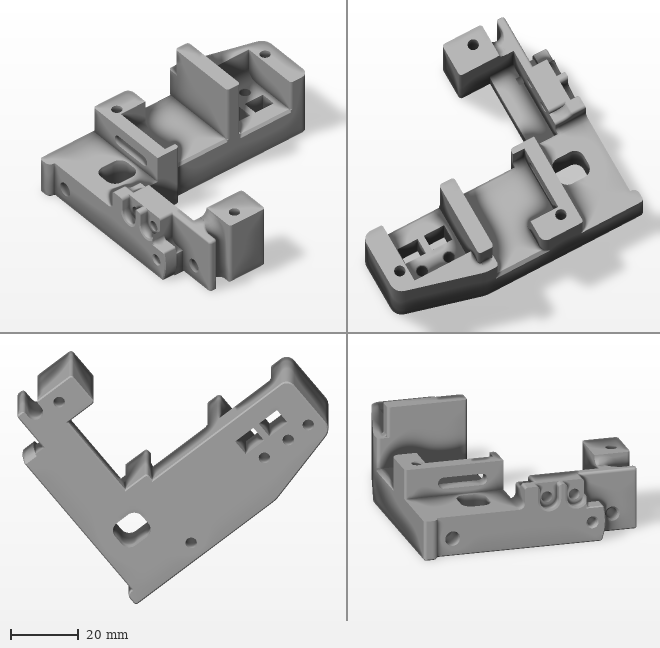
import cadquery as cq
import math

wall_top = 31.1
body_top = 21.6
boss_top = 19.1
deck_top = 12.4
channel_floor = 12.2
pocket_floor = 11.05
ear_top = 11.05
neck_top = 8.0
trough_floor = 5.4

column_right = 27.85
deck_right = 30.5
boss_left = 31.85
boss_right = 50.8
post_left = 57.6
part_right = 68.75
lip_right = 4.6

part_rear = 80.0
front_face = 2.2
ear_rear = 6.6
plate_front = 9.7
plate_rear = 12.4
post_front = 17.2
bracket_front = 20.4
nub_rear = 28.6
post_rear = 30.6
pad_rear = 34.1
wall_front = 49.0
wall_rear = 54.0
pocket_rear = 73.15

base_chamfer = 0.4
edge_round = 1.0
floor_edge = 1.05
front_edge_chamfer = 0.3
screw_diameter = 3.4


def box(x0, x1, y0, y1, z0, z1):
    """Axis-aligned block between two corners."""
    return cq.Workplane("XY").box(x1 - x0, y1 - y0, z1 - z0, centered=False).translate((x0, y0, z0))


def clear_above(x0, x1, y0, y1, z):
    """Cutter that removes everything above level z over a rectangle."""
    return box(x0, x1, y0, y1, z, wall_top)


def vertical_hole(x, y, diameter):
    """Full-height round cutter."""
    return cq.Workplane("XY").center(x, y).circle(diameter / 2).extrude(wall_top)


def front_hole(x, z, diameter, y0, y1):
    """Round cutter along Y from y0 to y1."""
    return cq.Workplane("XZ", origin=(x, y0, z)).circle(diameter / 2).extrude(y0 - y1)


def front_countersink(x, z, hole_diameter, rim_diameter, y):
    """45 degree rim chamfer for a hole entering a front-facing wall at y."""
    depth = (rim_diameter - hole_diameter) / 2
    return (
        cq.Workplane("XZ", origin=(x, y, z))
        .circle(rim_diameter / 2)
        .workplane(offset=-depth)
        .circle(hole_diameter / 2)
        .loft()
    )


slant_foot_y = 53.3
slant_head_x = 7.2
slant_foot_round = 9.1
slant_head_round = 3.8
rear_corner_round = 2.8
lip_corner_round = 1.9
lip_inner_round = 0.2

body = (
    cq.Workplane("XY")
    .polyline([
        (0, 0),
        (lip_right, 0),
        (lip_right, front_face),
        (boss_right, front_face),
        (boss_right, plate_front),
        (part_right, plate_front),
        (part_right, post_rear),
        (post_left, post_rear),
        (post_left, bracket_front),
        (deck_right, bracket_front),
        (deck_right, nub_rear),
        (column_right, nub_rear),
        (column_right, part_rear),
        (slant_head_x, part_rear),
        (0, slant_foot_y),
    ])
    .close()
    .extrude(body_top)
)


def round_corner(solid, x, y, radius):
    """Fillet the vertical edge that stands at (x, y)."""
    near = 0.1
    picker = cq.selectors.BoxSelector((x - near, y - near, -0.8), (x + near, y + near, wall_top + 0.8), True)
    return solid.edges("|Z").edges(picker).fillet(radius)


def round_nearest_edges(solid, points, radius):
    """Fillet together the edges whose centers lie nearest to the given points."""
    edges = cq.Workplane()
    for point in points:
        edges = edges.add(solid.edges(cq.selectors.NearestToPointSelector(point)))
    return solid.newObject(edges.vals()).fillet(radius)


for x, y, radius in [
    (0, 0, edge_round),
    (lip_right, 0, lip_corner_round),
    (lip_right, front_face, lip_inner_round),
    (part_right, plate_front, edge_round),
    (part_right, post_rear, edge_round),
    (post_left, post_rear, edge_round),
    (deck_right, nub_rear, edge_round),
    (column_right, part_rear, rear_corner_round),
    (slant_head_x, part_rear, slant_head_round),
    (0, slant_foot_y, slant_foot_round),
]:
    body = round_corner(body, x, y, radius)

body = body.faces("<Z").edges().chamfer(base_chamfer)

foot_round = 1.9
bracket_corner_round = 0.8
deck_cut = clear_above(-0.8, boss_left, -0.8, bracket_front, deck_top)
deck_cut = deck_cut.edges("|Y and >X and <Z").fillet(foot_round)
body = body.cut(deck_cut)
body = round_corner(body, 0, bracket_front, bracket_corner_round)

groove_radius = (post_front - plate_rear) / 2
groove_y = (post_front + plate_rear) / 2
body = body.cut(clear_above(deck_right, part_right + 0.8, -0.8, groove_y, boss_top))

trough_round = 1.9
trough = clear_above(deck_right, post_left, plate_rear, bracket_front + 0.8, trough_floor)
trough = trough.edges("|Y and <Z").fillet(trough_round)
body = body.cut(trough)

bend_radius = 7.2
bend_start_x = 59.15
groove_x = bend_start_x + bend_radius
bend_middle = (
    bend_start_x + bend_radius * math.sin(math.pi / 4),
    body_top - bend_radius * (1 - math.cos(math.pi / 4)),
)


def groove_line():
    """Center line of the groove in the XZ plane midway between the plate and the post."""
    return (
        cq.Workplane("XZ", origin=(0, groove_y, 0))
        .moveTo(deck_right, body_top)
        .lineTo(bend_start_x, body_top)
        .threePointArc(bend_middle, (groove_x, body_top - bend_radius))
        .lineTo(groove_x, -0.8)
    )


groove = cq.Workplane("YZ", origin=(deck_right, groove_y, body_top)).circle(groove_radius).sweep(groove_line())
groove_mouth = (
    groove_line()
    .lineTo(part_right + 0.8, -0.8)
    .lineTo(part_right + 0.8, wall_top)
    .lineTo(deck_right, wall_top)
    .close()
    .extrude(groove_radius, both=True)
)
body = body.cut(groove).cut(groove_mouth)
body = round_corner(body, part_right, post_front, edge_round)
body = round_corner(body, part_right, plate_rear, edge_round)

bracket_wall_rear = 24.7
pad_right = 7.7
nub_left = 28.6
channel_round = 2.25
channel = clear_above(-0.8, column_right + 0.8, pad_rear, wall_front, channel_floor)
bracket_recess = clear_above(pad_right, nub_left, bracket_wall_rear, nub_rear, channel_floor)
bracket_recess = bracket_recess.edges("|Y and <Z").fillet(channel_round)
pad_recess = clear_above(pad_right, column_right + 0.8, nub_rear, pad_rear, channel_floor)
pad_recess = pad_recess.edges("|Y and <X and <Z").fillet(channel_round)
body = body.cut(channel).cut(bracket_recess).cut(pad_recess)
body = round_corner(body, 0, wall_front, floor_edge)
body = round_corner(body, 0, pad_rear, channel_round)

pocket_left = 7.9
pocket_round = 3.1
pocket_corner_round = 0.8
pocket = clear_above(pocket_left, column_right + 0.8, wall_rear, pocket_rear, pocket_floor)
pocket = pocket.edges("|Y and <X and <Z").fillet(pocket_round)
body = body.cut(pocket)
body = round_corner(body, column_right, pocket_rear, pocket_corner_round)



def floor_edge_cut(x, inward, size, y0, y1, floor):
    """Triangular strip that chamfers a floor edge running along Y."""
    return (
        cq.Workplane("XZ", origin=(0, y0, 0))
        .polyline([
            (x, floor - size),
            (x, floor),
            (x + inward * size, floor),
        ])
        .close()
        .extrude(y0 - y1)
    )


right_floor_edge = 0.8
for x, inward, size, y0, y1, floor in [
    (0, 1, floor_edge, pad_rear - channel_round, wall_front + floor_edge, channel_floor),
    (column_right, -1, right_floor_edge, nub_rear, wall_front, channel_floor),
    (column_right, -1, right_floor_edge, wall_rear, pocket_rear, pocket_floor),
]:
    body = body.cut(floor_edge_cut(x, inward, size, y0, y1, floor))

wall_left = 3.1
wall_foot_round = 1.0
wall = box(wall_left, column_right, wall_front, wall_rear, channel_floor, wall_top)
wall = wall.edges("|Z").fillet(edge_round)
wall_foot = (
    cq.Workplane("XZ", origin=(0, wall_rear - edge_round, 0))
    .moveTo(wall_left, body_top)
    .lineTo(wall_left - wall_foot_round, body_top)
    .radiusArc((wall_left, body_top + wall_foot_round), -wall_foot_round)
    .close()
    .extrude(wall_rear - wall_front - 2 * edge_round)
)
body = body.cut(clear_above(pocket_left, column_right + 0.8, wall_front, wall_rear, channel_floor))
body = body.union(wall).union(wall_foot)

ear_foot_x = 55.55
ear_bulge_x = 56.75
ear_shoulder_x = 56.1
neck_right = 55.9
ear_corner_round = 0.65
ear = (
    cq.Workplane("XZ", origin=(0, front_face, 0))
    .moveTo(boss_left, 0)
    .lineTo(ear_foot_x, 0)
    .threePointArc((ear_bulge_x, ear_top / 2), (ear_shoulder_x, ear_top))
    .lineTo(boss_left, ear_top)
    .close()
    .extrude(front_face - ear_rear)
)
ear = ear.faces(">Z").edges("|Y and >X").fillet(ear_corner_round)
ear = ear.faces("<Z").edges("<Y or >X").chamfer(base_chamfer)
ear = ear.faces("<Y").edges(">Z or >X").chamfer(front_edge_chamfer)


def blend_to_boss(z, radius, y0, y1):
    """Concave round between a surface at level z and the right side of the boss."""
    return (
        cq.Workplane("XZ", origin=(0, y0, 0))
        .moveTo(boss_right, z)
        .lineTo(boss_right + radius, z)
        .radiusArc((boss_right, z + radius), radius)
        .close()
        .extrude(y0 - y1)
    )


ear_blend_round = 1.1
neck_blend_round = 2.0
neck = box(boss_left, neck_right, ear_rear, plate_front + 0.8, 0, neck_top)
body = body.union(neck).union(ear)
body = body.union(blend_to_boss(ear_top, ear_blend_round, front_face, ear_rear))
body = body.union(blend_to_boss(neck_top, neck_blend_round, ear_rear, plate_front))

notch_floor = 17.45
notch_right = 35.7
notch_front = 6.7
notch_ramp_start = 10.0
notch_ramp_radius = 4.0
notch_edge_round = 0.9
notch = (
    cq.Workplane("YZ", origin=(deck_right, 0, 0))
    .moveTo(plate_rear + 0.8, notch_floor)
    .lineTo(notch_ramp_start, notch_floor)
    .radiusArc((notch_front, boss_top), notch_ramp_radius)
    .lineTo(notch_front, body_top)
    .lineTo(plate_rear + 0.8, body_top)
    .close()
    .extrude(notch_right - deck_right)
)
body = body.cut(notch)
body = round_nearest_edges(body, [
    (notch_right, (notch_front + plate_rear) / 2, boss_top),
    ((boss_left + notch_right) / 2, notch_front, boss_top),
], notch_edge_round)

recess_rear = 5.05
recess_radius = 3.0
recess_edge = 0.65
recess_top_round = 1.05
recess_edge_depth = 0.25
recess_edge_angle = math.degrees(math.atan(recess_edge / recess_edge_depth))
recess_z = 14.6
recess_first_x = 39.4
recess_pitch = 8.5


def u_outline(x, y, radius):
    """Round-bottomed slot outline in a front-facing plane, open at the top."""
    return (
        cq.Workplane("XZ", origin=(x, y, recess_z))
        .moveTo(-radius, 0)
        .threePointArc((0, -radius), (radius, 0))
        .lineTo(radius, body_top - recess_z)
        .lineTo(-radius, body_top - recess_z)
        .close()
    )


recess_centers_x = [recess_first_x, recess_first_x + recess_pitch]
for x in recess_centers_x:
    recess = u_outline(x, front_face, recess_radius).extrude(front_face - recess_rear)
    body = body.cut(recess)
    body = body.cut(front_hole(x, recess_z, screw_diameter, front_face, plate_rear + 0.8))

boss_edge_round = 0.8
notch_middle_y = (notch_ramp_start + plate_rear) / 2
body = round_nearest_edges(body, [
    (boss_left, (front_face + notch_front) / 2, boss_top),
    (boss_left, notch_middle_y, notch_floor),
    (boss_left, (notch_front + notch_ramp_start) / 2, notch_floor + 0.4),
], boss_edge_round)

body = round_nearest_edges(body, [
    ((boss_right + part_right) / 2, plate_front, boss_top),
    (boss_right, (recess_rear + plate_front) / 2, boss_top),
], boss_edge_round)

recess_middle_y = (front_face + recess_rear) / 2
body = round_nearest_edges(body, [
    (recess_first_x - recess_radius, recess_middle_y, boss_top),
    (recess_first_x + recess_radius, recess_middle_y, boss_top),
    (recess_first_x + recess_pitch - recess_radius, recess_middle_y, boss_top),
], recess_top_round)

for x in recess_centers_x:
    rim = u_outline(x, front_face, recess_radius + recess_edge)
    body = body.cut(rim.extrude(-recess_edge_depth, taper=recess_edge_angle))

ear_hole_x = 52.7
ear_hole_z = 6.2
ear_hole_diameter = 2.9
ear_hole_rim = 3.8
ear_hole_end = 13.85
plate_hole_x = 61.0
plate_hole_z = 5.45
plate_hole_rim = 4.5
deck_hole_x = 9.45
deck_hole_diameter = 4.6
blind_depth = 8.0

body = body.cut(front_hole(ear_hole_x, ear_hole_z, ear_hole_diameter, front_face, ear_hole_end))
body = body.cut(front_countersink(ear_hole_x, ear_hole_z, ear_hole_diameter, ear_hole_rim, front_face))
body = body.cut(front_hole(plate_hole_x, plate_hole_z, screw_diameter, plate_front, plate_front + blind_depth))
body = body.cut(front_countersink(plate_hole_x, plate_hole_z, screw_diameter, plate_hole_rim, plate_front))
body = body.cut(front_hole(deck_hole_x, plate_hole_z, deck_hole_diameter, front_face, front_face + blind_depth))

column_hole_x = 12.65
pocket_hole_rim = 3.85
pocket_holes_y = [67.95, 58.9]
for x, y in [(5.2, 25.2), (64.35, 22.4), (column_hole_x, 75.55)] + [(column_hole_x, y) for y in pocket_holes_y]:
    body = body.cut(vertical_hole(x, y, screw_diameter))
rim_depth = (pocket_hole_rim - screw_diameter) / 2
for y in pocket_holes_y:
    rim = (
        cq.Workplane("XY", origin=(column_hole_x, y, pocket_floor))
        .circle(pocket_hole_rim / 2)
        .extrude(-rim_depth, taper=45)
    )
    body = body.cut(rim)

window_left = 17.0
window_width = 5.1
window_length = 6.9
for window_front in [55.4, 64.35]:
    body = body.cut(
        box(window_left, window_left + window_width, window_front, window_front + window_length, 0, wall_top)
    )

opening_round = 3.05
opening = box(14.9, 23.85, 8.9, 19.1, 0, wall_top).edges("|Z").fillet(opening_round)
body = body.cut(opening)

slot_center_x = 17.9
slot_center_z = 16.3
slot_length = 15.2
slot_height = 3.5
slot = (
    cq.Workplane("XZ", origin=(slot_center_x, bracket_front, slot_center_z))
    .slot2D(slot_length, slot_height)
    .extrude(bracket_front - bracket_wall_rear)
)
body = body.cut(slot)

result = body